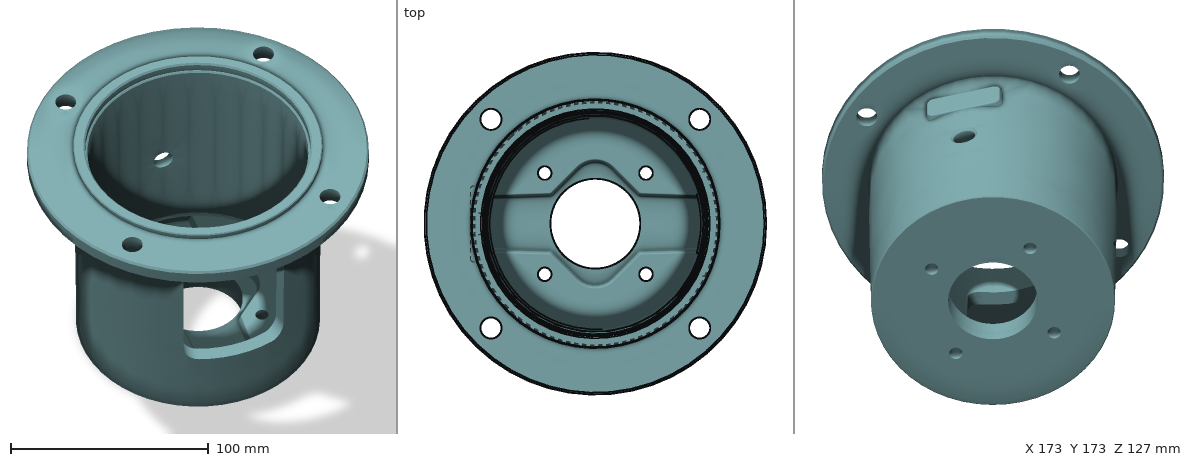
import cadquery as cq
import math

total_height = 127.0
pilot_height = 3.0
flange_thickness = 8.3
flange_top = total_height - pilot_height
flange_bottom = flange_top - flange_thickness

flange_radius = 86.5
flange_edge_chamfer = 1.0
pilot_radius = 63.0
pilot_edge_chamfer = 0.5
bolt_hole_diameter = 10.5
bolt_hole_offset = 52.8

neck_length = 1.7
base_radius = 61.8
base_edge_chamfer = 0.5
neck_bottom = flange_bottom - neck_length

counterbore_radius = 57.0
counterbore_depth = 4.5
mouth_chamfer = 0.9
ledge_radius = 55.9
ledge_chamfer = 0.7
bore_floor_radius = 54.5
floor_fillet = 1.2

channel_floor = 15.0
channel_depth = 5.0
channel_draft = 18.0
channel_edge_fillet = 0.7
channel_half_length = 69.2
channel_end_half_width = 12.1
channel_neck_half_width = 13.7
channel_peak = 35.6
channel_peak_radius = 11.8
channel_bend_radius = 3.5
selection_margin = 0.2
pad_top = channel_floor + channel_depth
shaft_hole_diameter = 45.3
mount_hole_diameter = 6.7
mount_hole_offset = 25.6

window_outer_half_width = 26.8
window_outer_edge_x = 56.5
window_side_draft = 11.0
window_bottom = 35.5
window_top = 100.5
window_corner_radius = 8.0

side_hole_height = 62.0
side_hole_outer_radius = 5.7
side_hole_inner_radius = 5.0
countersink_radius = 8.0
countersink_depth = 1.9

plate_face = -63.1
plate_face_width = 37.7
plate_face_height = 15.9
plate_middle_height = 94.6
plate_corner_radius = 3.5
plate_thickness = 5.2
plate_draft = 15.0
plate_edge_fillet = 0.9


def bore_radius_at(height):
    """Radius of the tapered bore at a given height."""
    ledge_height = total_height - counterbore_depth
    slope = (ledge_radius - bore_floor_radius) / (ledge_height - channel_floor)
    return bore_floor_radius + slope * (height - channel_floor)


def outer_body():
    """Barrel, flange and pilot as one revolved solid."""
    profile = [
        (0, 0),
        (base_radius - base_edge_chamfer, 0),
        (base_radius, base_edge_chamfer),
        (pilot_radius, neck_bottom),
        (pilot_radius, flange_bottom),
        (flange_radius - flange_edge_chamfer, flange_bottom),
        (flange_radius, flange_bottom + flange_edge_chamfer),
        (flange_radius, flange_top - flange_edge_chamfer),
        (flange_radius - flange_edge_chamfer, flange_top),
        (pilot_radius, flange_top),
        (pilot_radius, total_height - pilot_edge_chamfer),
        (pilot_radius - pilot_edge_chamfer, total_height),
        (0, total_height),
    ]
    return cq.Workplane("XZ").polyline(profile).close().revolve()


def cavity(floor_height):
    """Counterbored, tapered cavity with a rounded corner at the floor."""
    ledge_height = total_height - counterbore_depth
    profile = [
        (0, floor_height),
        (bore_radius_at(floor_height), floor_height),
        (ledge_radius, ledge_height - ledge_chamfer),
        (ledge_radius + ledge_chamfer, ledge_height),
        (counterbore_radius, ledge_height),
        (counterbore_radius, total_height - mouth_chamfer),
        (counterbore_radius + mouth_chamfer, total_height),
        (0, total_height),
    ]
    solid = cq.Workplane("XZ").polyline(profile).close().revolve()
    return solid.faces("<Z").edges().fillet(floor_fillet)


def sharp_channel():
    """Drafted channel along X that widens to a rounded 45 degree point on each side."""
    neck_x = channel_peak - channel_neck_half_width
    upper = [
        (-channel_half_length, channel_end_half_width),
        (-neck_x, channel_neck_half_width),
        (0, channel_peak),
        (neck_x, channel_neck_half_width),
        (channel_half_length, channel_end_half_width),
    ]
    lower = [(-x, -y) for x, y in upper]
    outline = cq.Sketch().polygon(upper + lower + upper[:1])
    outline = outline.vertices(">Y or <Y").fillet(channel_peak_radius).reset()
    bend_corners = cq.selectors.BoxSelector(
        (-channel_peak, -channel_peak / 2, -selection_margin),
        (channel_peak, channel_peak / 2, selection_margin),
    )
    outline = outline.vertices(bend_corners).fillet(channel_bend_radius)
    return (
        cq.Workplane("XY", origin=(0, 0, channel_floor))
        .placeSketch(outline)
        .extrude(channel_depth, taper=-channel_draft)
    )


def channel():
    """The channel with rounded floor corners and rounded pad edges."""
    block_size = 2 * channel_half_length - 3.5
    block = cq.Workplane("XY").box(block_size, block_size, pad_top, centered=(True, True, False))
    pads = block.cut(sharp_channel())
    for height in (pad_top, channel_floor):
        long_edges = cq.selectors.BoxSelector(
            (-bore_floor_radius, -bore_floor_radius, height - selection_margin),
            (bore_floor_radius, bore_floor_radius, height + selection_margin),
        )
        pads = pads.edges(long_edges).fillet(channel_edge_fillet)
    return block.cut(pads)


def corner_holes(offset, diameter, height):
    """Four vertical hole cutters on a square pattern, starting at the base plane."""
    return (
        cq.Workplane("XY")
        .rect(2 * offset, 2 * offset, forConstruction=True)
        .vertices()
        .circle(diameter / 2)
        .extrude(height)
    )


def window():
    """Cutter for the window: sides flare outward, corners are rounded."""
    flare = math.tan(math.radians(window_side_draft))
    inner_half_width = window_outer_half_width - window_outer_edge_x * flare
    outer_half_width = inner_half_width + flange_radius * flare
    plan = [
        (0, -inner_half_width),
        (flange_radius, -outer_half_width),
        (flange_radius, outer_half_width),
        (0, inner_half_width),
    ]
    return (
        cq.Workplane("XY", origin=(0, 0, window_bottom))
        .polyline(plan)
        .close()
        .extrude(window_top - window_bottom)
        .faces(">Y or <Y")
        .edges("#Z")
        .fillet(window_corner_radius)
    )


def side_hole():
    """Tapered hole with a countersink, revolved about a line parallel to X."""
    outer_x = -pilot_radius
    profile = [
        (0, 0),
        (0, side_hole_inner_radius),
        (-bore_floor_radius, side_hole_inner_radius),
        (outer_x + countersink_depth, side_hole_outer_radius),
        (outer_x, countersink_radius),
        (outer_x, 0),
    ]
    solid = cq.Workplane("XZ").polyline(profile).close().revolve(360, (0, 0), (1, 0))
    return solid.translate((0, 0, side_hole_height))


def nameplate():
    """Rounded plate with drafted sides and a softened face edge."""
    outline = cq.Sketch().rect(plate_face_width, plate_face_height)
    outline = outline.vertices().fillet(plate_corner_radius)
    return (
        cq.Workplane("YZ", origin=(plate_face, 0, plate_middle_height))
        .placeSketch(outline)
        .extrude(plate_thickness, taper=-plate_draft)
        .faces("<X")
        .edges()
        .fillet(plate_edge_fillet)
    )


shaft_hole = cq.Workplane("XY").circle(shaft_hole_diameter / 2).extrude(total_height)

result = (
    outer_body()
    .union(nameplate())
    .cut(cavity(pad_top))
    .cut(channel().intersect(cavity(channel_floor)))
    .cut(shaft_hole)
    .cut(corner_holes(mount_hole_offset, mount_hole_diameter, total_height))
    .cut(corner_holes(bolt_hole_offset, bolt_hole_diameter, total_height))
    .cut(window())
    .cut(side_hole())
)